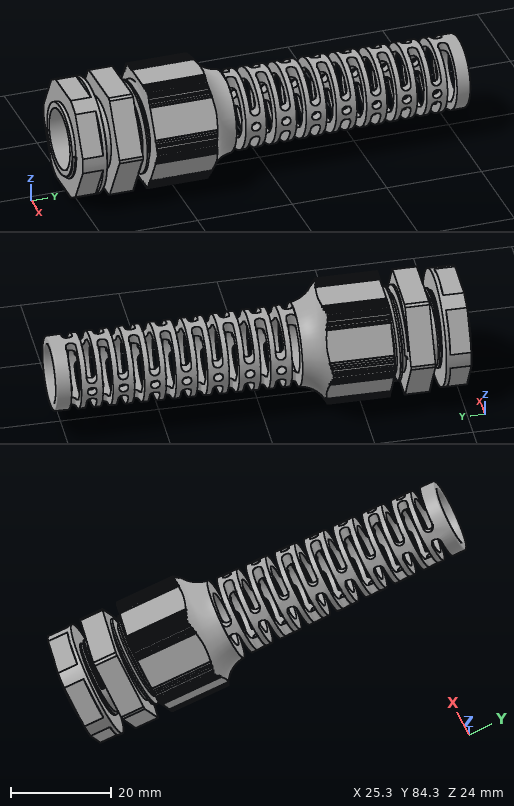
import cadquery as cq
import math

TOTAL_LENGTH = 84.3

ACROSS_FLATS = 22.3
CORNER_DIAMETER = 25.3

NUT_BOTTOM = 0.8
NUT_HEX_HEIGHT = 4.3
FLANGE_DIAMETER = 24.0
FLANGE_THICKNESS = 0.85
FLANGE_BOTTOM = NUT_BOTTOM + NUT_HEX_HEIGHT

COLLAR_BOTTOM = 8.3
COLLAR_HEIGHT = 5.0
COLLAR_TOP = COLLAR_BOTTOM + COLLAR_HEIGHT
LOWER_CORE_RADIUS = 7.6
LOWER_THREAD_DEPTH = 0.5
LOWER_PITCH = 1.3
LOWER_THREAD_START = 0.6
LOWER_TURNS = 5.25
UPPER_CORE_RADIUS = 8.1
UPPER_THREAD_DEPTH = 1.5
UPPER_PITCH = 1.6
UPPER_THREAD_START = COLLAR_TOP - 0.25
UPPER_TURNS = 2.5
THREAD_BASE_SHARE = 0.8
THREAD_CREST_SHARE = 0.25
THREAD_OVERLAP = 0.2

CAP_BOTTOM = 16.4
CAP_TOP = 34.5
DOME_RIM_RADIUS = CORNER_DIAMETER / 2
DOME_RIM_HEIGHT = 28.9
DOME_MID_RADIUS = 9.5
DOME_MID_HEIGHT = 31.55
DOME_TOP_RADIUS = 8.5
KNURL_COUNT = 7
KNURL_PITCH_ANGLE = 4.2
KNURL_WIDTH = 0.5
KNURL_DEPTH = 0.25
KNURL_CLEARANCE = 0.1

GUARD_BASE_RADIUS = 8.35
GUARD_TIP_RADIUS = 7.6
GUARD_BASE_BORE = 5.7
GUARD_TIP_BORE = 5.9
GUARD_TIP_FILLET = 0.3
ROW_COUNT = 15
ROW_PITCH = 3.2
SLOT_HEIGHT = 2.0
FIRST_ROW_HEIGHT = CAP_TOP + SLOT_HEIGHT / 2
NARROW_RIB_WIDTH = 1.85
WIDE_RIB_BASE_WIDTH = 4.9
WIDE_RIB_TIP_WIDTH = 3.6
RIB_HOLE_DIAMETER = 1.85

ENTRY_RADIUS = 6.3
SHOULDER_RADIUS = 5.65
SEAL_RADIUS = 4.05
SEAL_LEAD_IN = 0.4
SEAL_BOTTOM = 22.8
SEAL_TOP = 30.4
SHOULDER_LENGTH = 2.5

HEX_CORNER_ANGLES = range(0, 360, 60)


def cylinder(radius, bottom, top):
    return cq.Workplane("XY").workplane(offset=bottom).circle(radius).extrude(top - bottom)


def clipped_hexagon(corner_diameter, bottom, top):
    """Hexagonal prism with corners on the X axis, rounded off to a diameter."""
    circumscribed = ACROSS_FLATS / math.cos(math.radians(30))
    hexagon = cq.Workplane("XY").workplane(offset=bottom).polygon(6, circumscribed).extrude(top - bottom)
    return hexagon.intersect(cylinder(corner_diameter / 2, bottom, top))


def thread(core_radius, depth, pitch, start, turns):
    """Right-handed trapezoidal ridge that begins on the +X side."""
    root_radius = core_radius - THREAD_OVERLAP
    half_base = pitch * THREAD_BASE_SHARE / 2
    half_crest = pitch * THREAD_CREST_SHARE / 2
    path = cq.Wire.makeHelix(pitch, pitch * turns, core_radius)
    profile = [
        (root_radius, -half_base),
        (core_radius + depth, -half_crest),
        (core_radius + depth, half_crest),
        (root_radius, half_base),
    ]
    ridge = cq.Workplane("XZ").polyline(profile).close().sweep(cq.Workplane(path), isFrenet=True)
    return ridge.translate((0, 0, start))


def locknut():
    flange_top = FLANGE_BOTTOM + FLANGE_THICKNESS
    hexagon = clipped_hexagon(FLANGE_DIAMETER, NUT_BOTTOM, FLANGE_BOTTOM)
    return hexagon.union(cylinder(FLANGE_DIAMETER / 2, FLANGE_BOTTOM, flange_top))


def threaded_body():
    lower_thread = thread(
        LOWER_CORE_RADIUS, LOWER_THREAD_DEPTH, LOWER_PITCH, LOWER_THREAD_START, LOWER_TURNS
    )
    upper_thread = thread(
        UPPER_CORE_RADIUS, UPPER_THREAD_DEPTH, UPPER_PITCH, UPPER_THREAD_START, UPPER_TURNS
    ).rotate((0, 0, 0), (0, 0, 1), 180)
    lower_end = cylinder(LOWER_CORE_RADIUS, 0, COLLAR_BOTTOM).union(lower_thread)
    upper_end = cylinder(UPPER_CORE_RADIUS, COLLAR_BOTTOM, SEAL_TOP).union(upper_thread)
    collar = clipped_hexagon(CORNER_DIAMETER, COLLAR_BOTTOM, COLLAR_TOP)
    return collar.union(upper_end).union(lower_end)


def knurl_grooves():
    """V grooves along the cap, grouped around each hexagon corner."""
    grooves = cq.Workplane("XY").workplane(offset=CAP_BOTTOM)
    half_opening = KNURL_WIDTH / 2 * (1 + KNURL_CLEARANCE / KNURL_DEPTH)
    for corner_angle in HEX_CORNER_ANGLES:
        for index in range(KNURL_COUNT):
            offset_angle = (index - (KNURL_COUNT - 1) / 2) * KNURL_PITCH_ANGLE
            from_flat = math.radians(30 - abs(offset_angle))
            surface = min(CORNER_DIAMETER / 2, ACROSS_FLATS / 2 / math.cos(from_flat))
            groove_points = [
                (surface - KNURL_DEPTH, 0),
                (surface + KNURL_CLEARANCE, -half_opening),
                (surface + KNURL_CLEARANCE, half_opening),
            ]
            angle = math.radians(corner_angle + offset_angle)
            turned = [
                (x * math.cos(angle) - y * math.sin(angle), x * math.sin(angle) + y * math.cos(angle))
                for x, y in groove_points
            ]
            grooves = grooves.polyline(turned).close()
    return grooves.extrude(CAP_TOP - CAP_BOTTOM, combine=False)


def cap():
    envelope = (
        cq.Workplane("XZ")
        .moveTo(0, CAP_BOTTOM)
        .lineTo(DOME_RIM_RADIUS, CAP_BOTTOM)
        .lineTo(DOME_RIM_RADIUS, DOME_RIM_HEIGHT)
        .threePointArc((DOME_MID_RADIUS, DOME_MID_HEIGHT), (DOME_TOP_RADIUS, CAP_TOP))
        .lineTo(0, CAP_TOP)
        .close()
        .revolve(360, (0, 0, 0), (0, 1, 0))
    )
    return clipped_hexagon(CORNER_DIAMETER, CAP_BOTTOM, CAP_TOP).intersect(envelope).cut(knurl_grooves())


def slot_pair(rib_width):
    """Two round-ended slots through the guard along Y, leaving a rib between them at X = 0."""
    reach = 2 * GUARD_BASE_RADIUS
    centre = rib_width / 2 + reach / 2
    return (
        cq.Workplane("XZ")
        .pushPoints([(-centre, 0), (centre, 0)])
        .slot2D(reach, SLOT_HEIGHT)
        .extrude(2 * GUARD_BASE_RADIUS, both=True)
    )


def guard_rows():
    """Alternating slot rows: narrow ribs on the Y sides, wide drilled ribs on the X sides."""
    narrow_row = slot_pair(NARROW_RIB_WIDTH)
    drill = cq.Workplane("YZ").circle(RIB_HOLE_DIAMETER / 2).extrude(2 * GUARD_BASE_RADIUS, both=True)
    rows = []
    for index in range(ROW_COUNT):
        if index % 2 == 0:
            row = narrow_row
        else:
            along = index / (ROW_COUNT - 1)
            rib_width = WIDE_RIB_BASE_WIDTH + (WIDE_RIB_TIP_WIDTH - WIDE_RIB_BASE_WIDTH) * along
            row = slot_pair(rib_width).rotate((0, 0, 0), (0, 0, 1), 90).union(drill)
        rows.append(row.val().translate((0, 0, FIRST_ROW_HEIGHT + index * ROW_PITCH)))
    return rows


def bend_guard():
    guard = (
        cq.Workplane("XZ")
        .polyline(
            [
                (GUARD_BASE_BORE, SEAL_TOP),
                (GUARD_BASE_RADIUS, SEAL_TOP),
                (GUARD_TIP_RADIUS, TOTAL_LENGTH),
                (GUARD_TIP_BORE, TOTAL_LENGTH),
            ]
        )
        .close()
        .revolve(360, (0, 0, 0), (0, 1, 0))
        .faces(">Z")
        .edges()
        .fillet(GUARD_TIP_FILLET)
    )
    return cq.Workplane(guard.val().cut(*guard_rows()))


def bore():
    """Stepped passage from the threaded end, through the seal, up to the guard."""
    lead_in_radius = SEAL_RADIUS + SEAL_LEAD_IN
    return (
        cq.Workplane("XZ")
        .polyline(
            [
                (0, 0),
                (ENTRY_RADIUS, 0),
                (ENTRY_RADIUS, SEAL_BOTTOM - SHOULDER_LENGTH),
                (SHOULDER_RADIUS, SEAL_BOTTOM),
                (lead_in_radius, SEAL_BOTTOM),
                (SEAL_RADIUS, SEAL_BOTTOM + SEAL_LEAD_IN),
                (SEAL_RADIUS, SEAL_TOP),
                (GUARD_BASE_BORE, SEAL_TOP),
                (GUARD_BASE_BORE, CAP_TOP),
                (0, CAP_TOP),
            ]
        )
        .close()
        .revolve(360, (0, 0, 0), (0, 1, 0))
    )


gland = threaded_body().union(locknut()).union(cap()).cut(bore()).union(bend_guard())
result = gland.rotate((0, 0, 0), (1, 0, 0), -90)